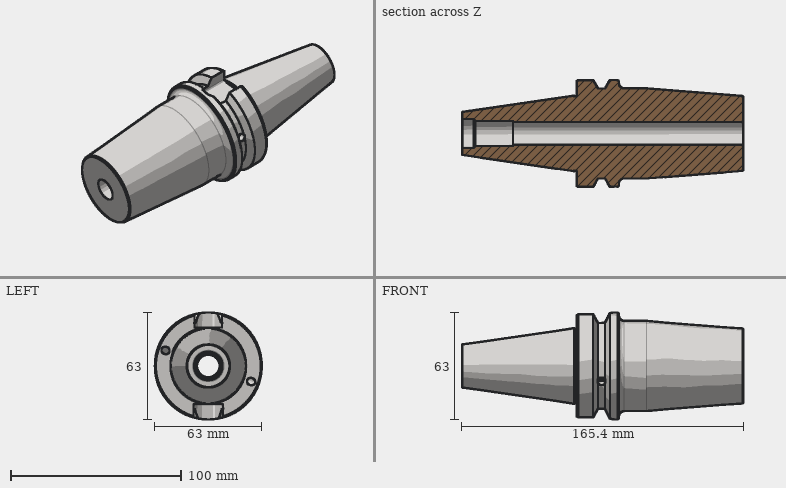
import cadquery as cq
import math

length = 165.4

taper_small_radius = 12.7
taper_length = 65.7
taper_slope = 7 / 48
taper_large_radius = taper_small_radius + taper_length * taper_slope
taper_end_chamfer = 0.3
relief_radius = 21.8
relief_fillet = 0.8

flange_radius = 31.51
flange_start = 67.3
flange_end = 92.3
flange_chamfer = 0.8
face_chamfer_run = 1.2
face_chamfer_rise = 0.7
groove_bottom_radius = 26.6
groove_bottom_start = 79.9
groove_bottom_end = 84.0
groove_side_run = 2.8

body_radius = 26.6
shoulder_fillet = 3.0
body_taper_start = 108.3
nose_radius = 22.2
nose_chamfer = 0.7

mouth_radius = 8.5
mouth_depth = 6.6
mouth_fillet = 0.8
mouth_floor_run = 1.2
thread_radius = 7.3
thread_end = 29.8
bore_radius = 6.6

slot_floor = 22.5
slot_center = 80.4
slot_floor_fillet = 0.5
top_slot_width = 16.4
bottom_slot_width = 17.4

coolant_angle = 20.0
duct_radius = 2.2
duct_face_radius = 26.8
duct_tilt = 30.0
radial_hole_radius = 2.3
radial_hole_floor = 19.8
radial_hole_x = (groove_bottom_start + groove_bottom_end) / 2

fillet_middle = 1 - math.sqrt(0.5)


def make_turned_body():
    """Revolve the outer outline about X."""
    relief_middle = relief_fillet * fillet_middle
    shoulder_middle = shoulder_fillet * fillet_middle
    outline = (
        cq.Workplane("XY")
        .lineTo(0, taper_small_radius - taper_end_chamfer)
        .lineTo(taper_end_chamfer, taper_small_radius + taper_end_chamfer * taper_slope)
        .lineTo(taper_length, taper_large_radius)
        .lineTo(taper_length, relief_radius)
        .lineTo(flange_start - relief_fillet, relief_radius)
        .threePointArc(
            (flange_start - relief_middle, relief_radius + relief_middle),
            (flange_start, relief_radius + relief_fillet),
        )
        .lineTo(flange_start, flange_radius - face_chamfer_rise)
        .lineTo(flange_start + face_chamfer_run, flange_radius)
        .lineTo(groove_bottom_start - groove_side_run, flange_radius)
        .lineTo(groove_bottom_start, groove_bottom_radius)
        .lineTo(groove_bottom_end, groove_bottom_radius)
        .lineTo(groove_bottom_end + groove_side_run, flange_radius)
        .lineTo(flange_end - flange_chamfer, flange_radius)
        .lineTo(flange_end, flange_radius - flange_chamfer)
        .lineTo(flange_end, body_radius + shoulder_fillet)
        .threePointArc(
            (flange_end + shoulder_middle, body_radius + shoulder_middle),
            (flange_end + shoulder_fillet, body_radius),
        )
        .lineTo(body_taper_start, body_radius)
        .lineTo(length - nose_chamfer, nose_radius)
        .lineTo(length, nose_radius - nose_chamfer)
        .lineTo(length, 0)
        .close()
    )
    return outline.revolve(360, (0, 0, 0), (1, 0, 0))


def make_bore():
    """Through bore with a rounded mouth and a thread core at the taper end."""
    mouth_middle = mouth_fillet * fillet_middle
    outline = (
        cq.Workplane("XY")
        .lineTo(0, mouth_radius + mouth_fillet)
        .threePointArc((mouth_middle, mouth_radius + mouth_middle), (mouth_fillet, mouth_radius))
        .lineTo(mouth_depth, mouth_radius)
        .lineTo(mouth_depth + mouth_floor_run, thread_radius)
        .lineTo(thread_end, thread_radius)
        .lineTo(thread_end, bore_radius)
        .lineTo(length, bore_radius)
        .lineTo(length, 0)
        .close()
    )
    return outline.revolve(360, (0, 0, 0), (1, 0, 0))


def make_slot(width, side):
    """Drive slot open toward -X with a round end; side is +1 for +Z or -1 for -Z."""
    depth = flange_radius - slot_floor
    straight = slot_center - taper_length
    plane = cq.Workplane("XY").workplane(offset=side * slot_floor)
    channel = plane.center(slot_center - straight / 2, 0).rect(straight, width).extrude(side * depth)
    round_end = plane.center(slot_center, 0).circle(width / 2).extrude(side * depth)
    floor_face = "<Z" if side > 0 else ">Z"
    floor_edges = channel.union(round_end).faces(floor_face).edges("not(<X)")
    return floor_edges.fillet(slot_floor_fillet)


def make_coolant_channel():
    """Duct and blind radial hole in the XY plane on the +Y side."""
    tilt = math.radians(duct_tilt)
    duct_run = radial_hole_x - flange_start
    direction = cq.Vector(math.cos(tilt), -math.sin(tilt), 0)
    face_point = cq.Vector(flange_start, duct_face_radius, 0)
    lead_in = duct_radius
    duct = cq.Solid.makeCylinder(
        duct_radius,
        lead_in + duct_run / math.cos(tilt),
        face_point - direction * lead_in,
        direction,
    )
    radial_hole = cq.Solid.makeCylinder(
        radial_hole_radius,
        flange_radius - radial_hole_floor,
        cq.Vector(radial_hole_x, radial_hole_floor, 0),
        cq.Vector(0, 1, 0),
    )
    return cq.Workplane(duct).union(cq.Workplane(radial_hole))


result = make_turned_body().cut(make_bore())
result = result.cut(make_slot(top_slot_width, 1))
result = result.cut(make_slot(bottom_slot_width, -1))
for half_turn in (0, 180):
    channel = make_coolant_channel().rotate((0, 0, 0), (1, 0, 0), coolant_angle + half_turn)
    result = result.cut(channel)